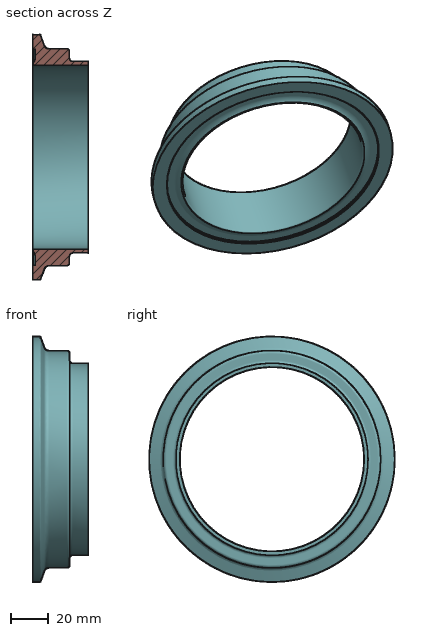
import cadquery as cq
import math

length = 29.5

flange_radius = 130 / 2
hub_radius = 115.0 / 2
tube_radius = 101.7 / 2

hub_end = 19.6
slope_foot = 6.9
slope_angle = math.radians(20)
slope_top = slope_foot - (flange_radius - hub_radius) * math.tan(slope_angle)

rim_fillet = 0.8
hub_front_fillet = 2.2
hub_end_fillet = 1.5
tube_fillet = 1.5

recess_radius = 114.3 / 2
recess_depth = 1.3
recess_chamfer = hub_radius - recess_radius

bore_radius = 97.4 / 2
sweep_outer_radius = 106.0 / 2
sweep_curve = 4.5
cone_angle = math.radians(36)
lip_round = 0.8


def sweep_point(angle):
    """Point on the concave sweep, turned by angle away from the recess floor."""
    x = recess_depth - sweep_curve * (1 - math.cos(angle))
    y = sweep_outer_radius - sweep_curve * math.sin(angle)
    return x, y


def turned_body():
    """Revolve the profile: X along the axis, Y as the radius."""
    cone_start_x, cone_start_y = sweep_point(cone_angle)
    lip_tip_y = cone_start_y - cone_start_x / math.tan(cone_angle)
    round_mid = lip_round * (1 - math.sqrt(0.5))
    profile = (
        cq.Workplane("XY")
        .moveTo(0, hub_radius)
        .lineTo(0, flange_radius)
        .lineTo(slope_top, flange_radius)
        .lineTo(slope_foot, hub_radius)
        .lineTo(hub_end, hub_radius)
        .lineTo(hub_end, tube_radius)
        .lineTo(length, tube_radius)
        .lineTo(length, bore_radius)
        .lineTo(lip_round, bore_radius)
        .threePointArc((round_mid, bore_radius + round_mid), (0, bore_radius + lip_round))
        .lineTo(0, lip_tip_y)
        .lineTo(cone_start_x, cone_start_y)
        .threePointArc(sweep_point(cone_angle / 2), (recess_depth, sweep_outer_radius))
        .lineTo(recess_depth, recess_radius)
        .lineTo(recess_chamfer, recess_radius)
        .close()
    )
    return profile.revolve(360, (0, 0, 0), (1, 0, 0))


def round_edge(body, x, radius, fillet):
    """Fillet the circular edge at axial position x with the given radius."""
    margin = 0.01
    box = cq.selectors.BoxSelector(
        (x - margin, -radius - margin, -radius - margin),
        (x + margin, radius + margin, radius + margin),
        boundingbox=True,
    )
    return body.edges(box).edges(cq.selectors.RadiusNthSelector(-1)).fillet(fillet)


result = turned_body()
result = round_edge(result, slope_top, flange_radius, rim_fillet)
result = round_edge(result, slope_foot, hub_radius, hub_front_fillet)
result = round_edge(result, hub_end, hub_radius, hub_end_fillet)
result = round_edge(result, hub_end, tube_radius, tube_fillet)